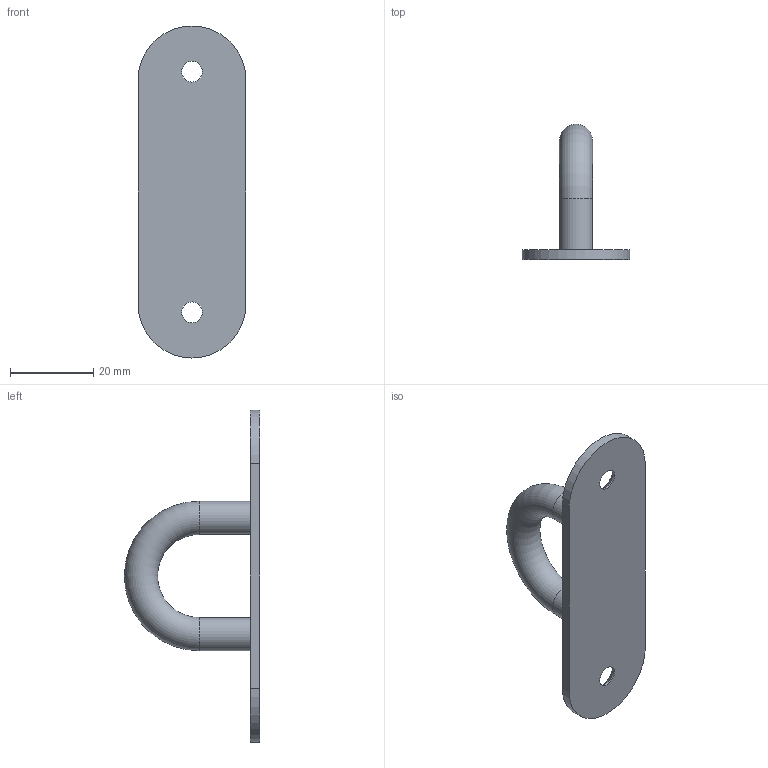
import cadquery as cq

PLATE_WIDTH = 26.0
PLATE_HEIGHT = 80.0
PLATE_THICKNESS = 2.3
HOLE_DIAMETER = 5.0
COUNTERSINK_DIAMETER = 8.5
COUNTERSINK_ANGLE = 90.0
HOLE_SPACING = 58.0
ROD_DIAMETER = 8.0
BOW_INNER_DIAMETER = 20.0
OVERALL_DEPTH = 32.6

bow_radius = (BOW_INNER_DIAMETER + ROD_DIAMETER) / 2
bow_crown_y = OVERALL_DEPTH - ROD_DIAMETER / 2
leg_end_y = bow_crown_y - bow_radius


def make_plate():
    """Round-ended plate with its front face on the XZ plane, thickened toward +Y."""
    return (
        cq.Workplane("XZ")
        .slot2D(PLATE_HEIGHT, PLATE_WIDTH, angle=90)
        .extrude(-PLATE_THICKNESS)
    )


def cut_screw_holes(plate):
    """Two through holes on the vertical centreline, countersunk from the back face."""
    return (
        plate.faces(">Y")
        .workplane(origin=(0, PLATE_THICKNESS, 0))
        .pushPoints([(0, -HOLE_SPACING / 2), (0, HOLE_SPACING / 2)])
        .cskHole(HOLE_DIAMETER, COUNTERSINK_DIAMETER, COUNTERSINK_ANGLE)
    )


def make_bow():
    """U-shaped round rod whose two straight legs stand on the back of the plate."""
    path = (
        cq.Workplane("YZ")
        .moveTo(PLATE_THICKNESS, -bow_radius)
        .lineTo(leg_end_y, -bow_radius)
        .threePointArc((bow_crown_y, 0), (leg_end_y, bow_radius))
        .lineTo(PLATE_THICKNESS, bow_radius)
    )
    return (
        cq.Workplane("XZ", origin=(0, PLATE_THICKNESS, -bow_radius))
        .circle(ROD_DIAMETER / 2)
        .sweep(path)
    )


result = cut_screw_holes(make_plate()).union(make_bow())